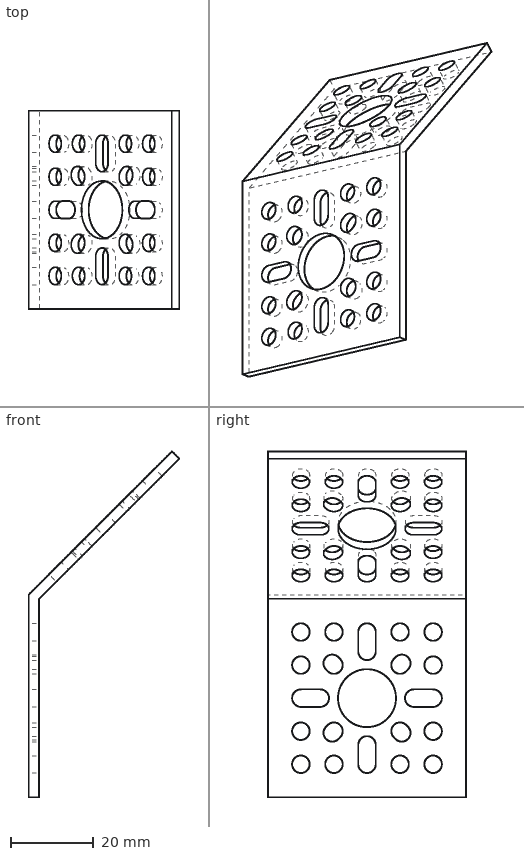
import cadquery as cq
import math

overall_height = 83.7
thickness = 2.5
bend_angle = 45.0

lean = math.radians(bend_angle)
leg_length = overall_height / (1 + math.cos(lean))
bend_setback = thickness * math.tan(lean / 2)
width = leg_length - bend_setback

hole_diameter = 4.2
center_hole_diameter = 14.0
pitch = width / 6
pattern_to_free_end = width / 2
straight_slot_end = 2 * pitch
slot_start = pitch * math.sqrt(2)
diagonal_slot_travel = 0.6


def make_leg_profile():
    """Bent strip in the XZ plane, its outer lower face on X = 0 and its foot on Z = 0."""
    tip_x = leg_length * math.sin(lean)
    return [
        (0, 0),
        (0, leg_length),
        (tip_x, overall_height),
        (tip_x + thickness * math.cos(lean), overall_height - thickness * math.sin(lean)),
        (thickness, leg_length - bend_setback),
        (thickness, 0),
    ]


def make_cutter(sketch):
    """Extrude outlines on a leg's outer face far enough to pass through the leg."""
    return sketch.extrude(thickness, both=True)


def make_radial_slot(sketch, angle, inner_radius, outer_radius):
    """Cutter for a slot along a radius of the pattern, given the radii of its end centres."""
    middle = (inner_radius + outer_radius) / 2
    slot_length = outer_radius - inner_radius + hole_diameter
    center_x = middle * math.cos(math.radians(angle))
    center_y = middle * math.sin(math.radians(angle))
    return make_cutter(sketch.center(center_x, center_y).slot2D(slot_length, hole_diameter, angle))


def make_hole_pattern(plane):
    """Cutter for one leg: center hole, grid holes, four straight and four diagonal slots."""
    sketch = cq.Workplane(plane)
    grid_points = [
        (column * pitch, row * pitch)
        for column in (-2, -1, 1, 2)
        for row in (-2, -1, 1, 2)
        if abs(column) == 2 or abs(row) == 2
    ]
    cutter = make_cutter(sketch.circle(center_hole_diameter / 2))
    cutter = cutter.add(make_cutter(sketch.pushPoints(grid_points).circle(hole_diameter / 2)))
    diagonal_slot_end = slot_start + diagonal_slot_travel
    for angle in range(0, 360, 90):
        cutter = cutter.add(make_radial_slot(sketch, angle, slot_start, straight_slot_end))
        cutter = cutter.add(make_radial_slot(sketch, angle + 45, slot_start, diagonal_slot_end))
    return cutter.combine()


plate = (
    cq.Workplane("XZ")
    .polyline(make_leg_profile())
    .close()
    .extrude(width / 2, both=True)
)

along_upper = leg_length - pattern_to_free_end
lower_plane = cq.Plane(
    origin=(0, 0, pattern_to_free_end),
    xDir=(0, 1, 0),
    normal=(1, 0, 0),
)
upper_plane = cq.Plane(
    origin=(along_upper * math.sin(lean), 0, leg_length + along_upper * math.cos(lean)),
    xDir=(0, 1, 0),
    normal=(math.cos(lean), 0, -math.sin(lean)),
)

result = plate
for leg_plane in (lower_plane, upper_plane):
    result = result.cut(make_hole_pattern(leg_plane))